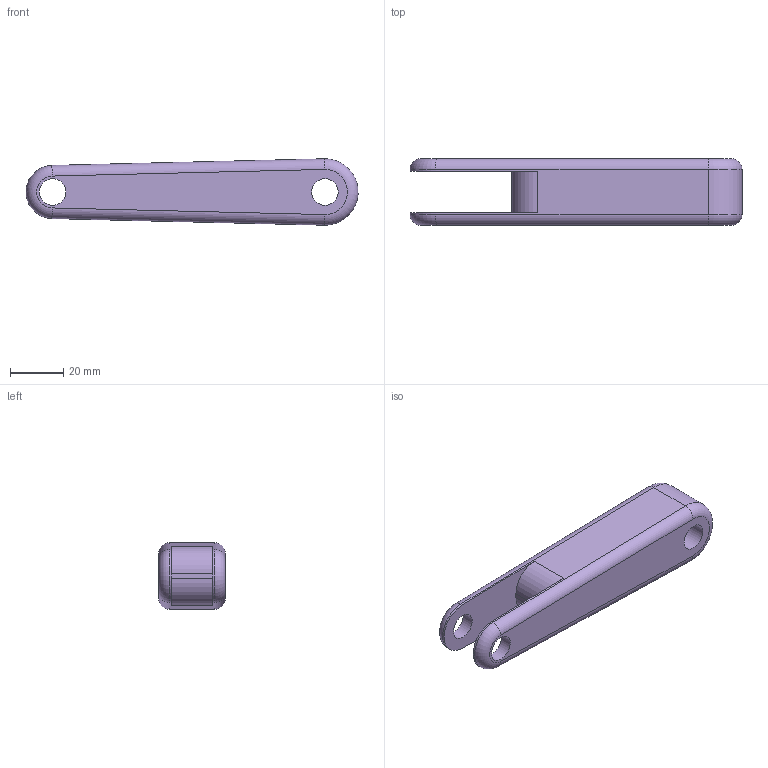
import cadquery as cq
import math

pivot_distance = 102.5
small_end_radius = 10.0
large_end_radius = 12.5
pivot_hole_diameter = 10.0

body_width = 25.0
outer_edge_fillet = 4.0

slot_width = 15.5
slot_depth = 38.25
slot_end_fillet = 10.0

flank_angle = math.asin((large_end_radius - small_end_radius) / pivot_distance)


def flank_point(center_x, radius, side):
    """Point where a flank touches an end arc; side is +1 for the top, -1 for the bottom."""
    return (
        center_x - radius * math.sin(flank_angle),
        side * radius * math.cos(flank_angle),
    )


def make_body():
    """Tapered lever with round ends and rounded outer edges."""
    outline = (
        cq.Workplane("XZ")
        .moveTo(*flank_point(0, small_end_radius, 1))
        .lineTo(*flank_point(pivot_distance, large_end_radius, 1))
        .threePointArc(
            (pivot_distance + large_end_radius, 0),
            flank_point(pivot_distance, large_end_radius, -1),
        )
        .lineTo(*flank_point(0, small_end_radius, -1))
        .threePointArc((-small_end_radius, 0), flank_point(0, small_end_radius, 1))
        .close()
    )
    body = outline.extrude(body_width / 2, both=True)
    return body.faces("<Y or >Y").edges().fillet(outer_edge_fillet)


def cut_fork_slot(body):
    """Open the small end into a fork and round the top and bottom of the slot's end wall."""
    slot_height = 2 * large_end_radius
    slot = (
        cq.Workplane("XY")
        .box(slot_depth, slot_width, slot_height, centered=(False, True, True))
        .translate((-small_end_radius, 0, 0))
    )
    end_wall_x = slot_depth - small_end_radius
    forked = body.cut(slot)
    end_wall_edges = forked.edges("|Y").filter(
        lambda edge: abs(edge.Center().x - end_wall_x) < slot_end_fillet / 2
    )
    return forked.newObject(end_wall_edges.vals()).fillet(slot_end_fillet)


def cut_pivot_holes(body):
    """Drill a hole across the full width at each pivot."""
    holes = (
        cq.Workplane("XZ")
        .pushPoints([(0, 0), (pivot_distance, 0)])
        .circle(pivot_hole_diameter / 2)
        .extrude(body_width / 2, both=True)
    )
    return body.cut(holes)


result = cut_pivot_holes(cut_fork_slot(make_body()))